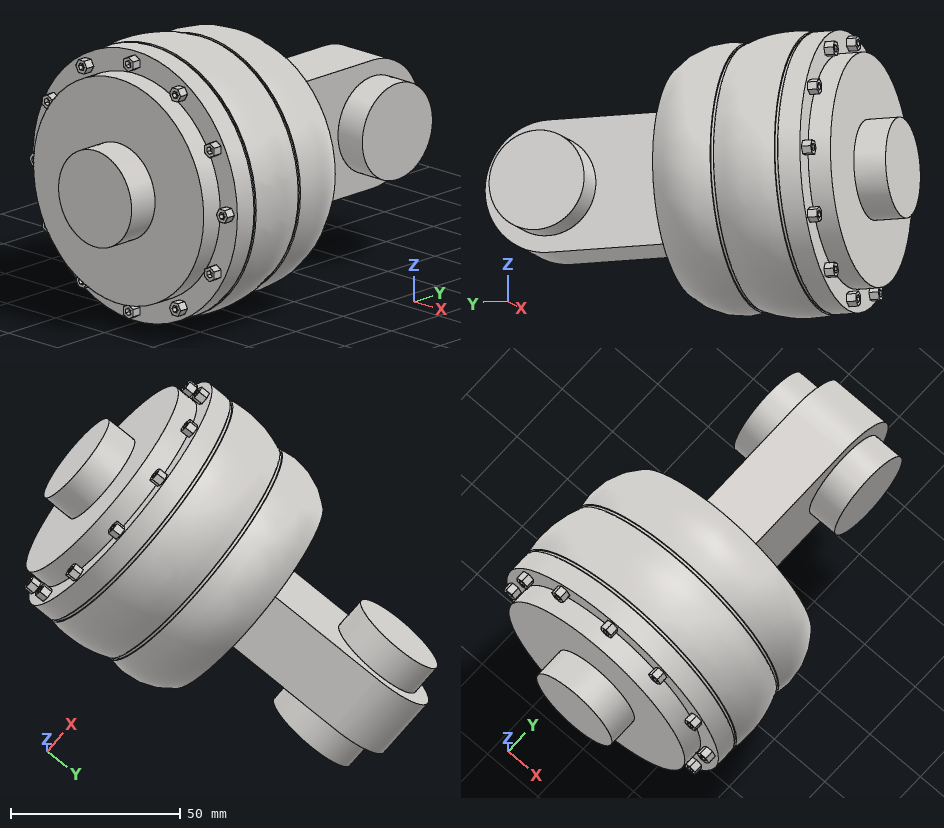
import cadquery as cq
import math

total_length = 128.0

stub_length = 10.0
disc_length = 7.0
flange_length = 7.0
shell_length = 20.0
groove_width = 1.0

stub_radius = 15.0
disc_radius = 35.0
flange_radius = 42.0
flange_groove_radius = 41.5
shell_groove_radius = 39.4

front_shell_front_radius = flange_radius
front_shell_back_radius = 40.0
front_bulge_radius = 35.2
back_shell_front_radius = front_shell_back_radius
back_shell_back_radius = disc_radius
back_bulge_radius = 21.5

arm_width = 20.0
eye_radius = 20.0
pin_radius = 15.0
pin_length = 2 * arm_width

bolt_count = 12
bolt_circle_radius = (flange_radius + disc_radius) / 2
bolt_across_flats = 4.0
bolt_corner_diameter = bolt_across_flats / math.cos(math.pi / 6)
bolt_head_height = 3.0
socket_corner_diameter = 2.3
socket_depth = bolt_head_height / 2

disc_front = stub_length
flange_front = disc_front + disc_length
flange_back = flange_front + flange_length
front_shell_front = flange_back + groove_width
front_shell_back = front_shell_front + shell_length
back_shell_front = front_shell_back + groove_width
body_back = back_shell_front + shell_length
eye_center = total_length - eye_radius


def bulge_middle(start, end, arc_radius):
    """Middle point of the outward arc joining two (radius, y) profile points."""
    run_r = end[0] - start[0]
    run_y = end[1] - start[1]
    chord = math.hypot(run_r, run_y)
    sagitta = arc_radius - math.sqrt(arc_radius**2 - (chord / 2) ** 2)
    middle_r = (start[0] + end[0]) / 2 + sagitta * run_y / chord
    middle_y = (start[1] + end[1]) / 2 - sagitta * run_r / chord
    return (middle_r, middle_y)


def make_body():
    """Stub, disc, flange and both shells as one turned profile."""
    front_start = (front_shell_front_radius, front_shell_front)
    front_end = (front_shell_back_radius, front_shell_back)
    back_start = (back_shell_front_radius, back_shell_front)
    back_end = (back_shell_back_radius, body_back)
    profile = (
        cq.Workplane("XY")
        .moveTo(0, 0)
        .lineTo(stub_radius, 0)
        .lineTo(stub_radius, disc_front)
        .lineTo(disc_radius, disc_front)
        .lineTo(disc_radius, flange_front)
        .lineTo(flange_radius, flange_front)
        .lineTo(flange_radius, flange_back)
        .lineTo(flange_groove_radius, flange_back)
        .lineTo(flange_groove_radius, front_shell_front)
        .lineTo(*front_start)
        .threePointArc(bulge_middle(front_start, front_end, front_bulge_radius), front_end)
        .lineTo(shell_groove_radius, front_shell_back)
        .lineTo(shell_groove_radius, back_shell_front)
        .lineTo(*back_start)
        .threePointArc(bulge_middle(back_start, back_end, back_bulge_radius), back_end)
        .lineTo(0, body_back)
        .close()
    )
    return profile.revolve(360, (0, 0, 0), (0, 1, 0))


def make_eye():
    """Flat arm with a rounded end and a cross pin standing out on both sides."""
    arm_length = eye_center - body_back
    arm = cq.Workplane("XY").box(arm_width, arm_length, 2 * eye_radius)
    arm = arm.translate((0, body_back + arm_length / 2, 0))
    across = cq.Workplane("YZ").center(eye_center, 0)
    rounded_end = across.circle(eye_radius).extrude(arm_width / 2, both=True)
    pin = across.circle(pin_radius).extrude(pin_length / 2, both=True)
    return arm.union(rounded_end).union(pin)


def make_bolt(angle):
    """Hex socket bolt head on the flange front, one corner pointing outwards."""
    head_plane = cq.Workplane("XZ", origin=(bolt_circle_radius, flange_front, 0))
    head = head_plane.polygon(6, bolt_corner_diameter).extrude(bolt_head_height)
    socket = (
        head_plane.workplane(offset=bolt_head_height - socket_depth)
        .polygon(6, socket_corner_diameter)
        .extrude(socket_depth)
    )
    return head.cut(socket).rotate((0, 0, 0), (0, 1, 0), angle)


result = make_body().union(make_eye())
for index in range(bolt_count):
    result = result.union(make_bolt(index * 360 / bolt_count))